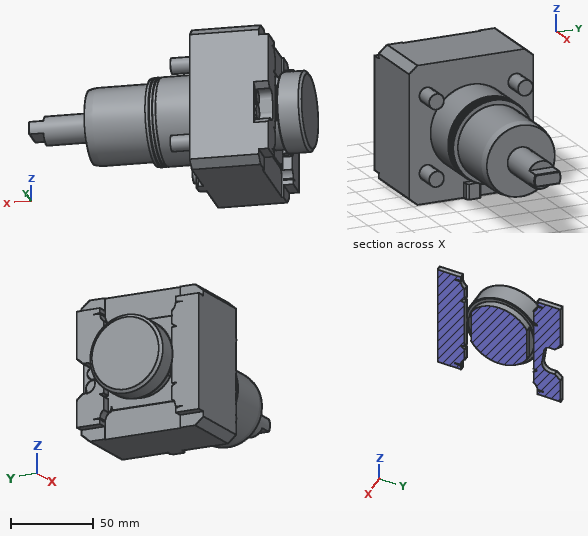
import cadquery as cq
EPS = 0.5

HOUSING_Y, HOUSING_Z = 84.0, 90.0
CORNER_Y, CORNER_Z = 5.7, 4.8
FACE_X = -43.1
PAD_X = -49.2
PAD_HALF_Z = 37.0
PAD_INNER_Y = 23.4

CHANNEL_STEP = 1.0
CHANNEL_FLOOR_X = FACE_X + CHANNEL_STEP
CHANNEL_HALF_Y = 26.0
CHANNEL_START_Z = 27.3
CHANNEL_RADIUS = 6.0

MID_RELIEF = ((PAD_INNER_Y, 19.9), (26.1, 17.9), (PAD_INNER_Y, 17.7))
END_RELIEF = ((CHANNEL_HALF_Y, 34.0), (30.2, 33.4), (CHANNEL_HALF_Y, 33.2))
PANEL_RELIEF = ((21.9, 27.7), (21.3, 25.0), (20.9, 27.5))

COOLANT_Y = 35.0
NOZZLE_Z, NOZZLE_RADIUS = -10.5, 4.9
SCREW_Z, SCREW_RADIUS = -1.1, 4.0
NOZZLE_CLEARANCE = 0.7
SCREW_CLEARANCE = 0.3
RECESS_MOUTH_TOP_Z = 6.7
RECESS_MOUTH_BOTTOM_Z = -19.6
RECESS_FLAT_Y = 38.0
RECESS_FLOOR_X = -40.0
PLUG_FRONT_X = -41.0
NOZZLE_BORE_STEP = 1.0
NOZZLE_BORE_END_X = RECESS_FLOOR_X + NOZZLE_BORE_STEP

CAP_FRONT_X, CAP_REAR_X = -65.6, -50.5
CAP_RADIUS = 25.0
CAP_CHAMFER_X, CAP_CHAMFER_R = 1.6, 2.0
CAP_REAR_CHAMFER = 0.5
NECK_RADIUS = 22.4
NECK_FLAT_START_X = PAD_X
NECK_FLAT_HALF_Y = 19.2

FLANGE_RADIUS, FLANGE_END_X = 27.5, 31.4
FLANGE_TAPER_DROP = 0.5
ORING_START_X, ORING_END_X = 24.8, 27.0
ORING_GROOVE_DEPTH = 1.6
ORING_SINK = 0.5
SNAP_START_X, SNAP_END_X = 28.8, 29.3
SNAP_GROOVE_DEPTH = 0.5
BARREL_RADIUS, BARREL_END_X = 24.0, 70.4
NOSE_LENGTH, NOSE_DROP = 5.4, 1.0
DRIVE_RADIUS, DRIVE_SHOULDER_X = 9.0, 99.3
TANG_END_X, TANG_THICKNESS, TANG_CHAMFER = 108.4, 8.0, 0.5

BOLT_Y, BOLT_Z = 30.0, 25.0
BOLT_RADIUS, BOLT_LENGTH = 5.0, 13.8
KEY_WIDTH, KEY_HEIGHT, KEY_LENGTH, KEY_CHAMFER = 10.0, 10.0, 4.7, 1.5


def block(x_range, y_range, z_range):
    """Axis-aligned box given by its limits along X, Y and Z."""
    sizes = [high - low for low, high in (x_range, y_range, z_range)]
    corner = (x_range[0], y_range[0], z_range[0])
    return cq.Workplane("XY").box(*sizes, centered=False).translate(corner)


def section(x):
    """Workplane across the spindle axis, with local axes Y and Z."""
    return cq.Workplane("YZ", origin=(x, 0, 0))


def rod(x_start, x_end, radius, y=0.0, z=0.0):
    """Cylinder along X."""
    return section(x_start).center(y, z).circle(radius).extrude(x_end - x_start)


def mirrored_four(shape):
    """The shape together with its copies in all four Y/Z quadrants."""
    pair = shape.union(shape.mirror("XZ"))
    return pair.union(pair.mirror("XY"))


def make_housing():
    half_y, half_z = HOUSING_Y / 2, HOUSING_Z / 2
    flat_y, flat_z = half_y - CORNER_Y, half_z - CORNER_Z
    outline = [
        (flat_y, half_z), (half_y, flat_z), (half_y, -flat_z), (flat_y, -half_z),
        (-flat_y, -half_z), (-half_y, -flat_z), (-half_y, flat_z), (-flat_y, half_z),
    ]
    housing = section(FACE_X).polyline(outline).close().extrude(-FACE_X)
    pad = block((PAD_X, FACE_X + EPS), (PAD_INNER_Y, half_y), (-PAD_HALF_Z, PAD_HALF_Z))
    return housing.union(pad).union(pad.mirror("XZ"))


def make_channels():
    upper = block(
        (PAD_X - EPS, CHANNEL_FLOOR_X),
        (-CHANNEL_HALF_Y, CHANNEL_HALF_Y),
        (CHANNEL_START_Z, HOUSING_Z / 2 + EPS),
    )
    upper = upper.edges("|X and <Z").fillet(CHANNEL_RADIUS)
    return upper.union(upper.mirror("XY"))


def make_relief(corners, x_start, x_end):
    """Triangular notches at the given corners, in every Y/Z quadrant."""
    notch = section(x_start).polyline(corners).close().extrude(x_end - x_start)
    return mirrored_four(notch)


def make_coolant_recess():
    nozzle_wall = NOZZLE_RADIUS + NOZZLE_CLEARANCE
    screw_wall = SCREW_RADIUS + SCREW_CLEARANCE
    mouth_y = HOUSING_Y / 2
    top_z = SCREW_Z + screw_wall
    bottom_z = NOZZLE_Z - nozzle_wall
    outline = [
        (mouth_y, RECESS_MOUTH_TOP_Z), (RECESS_FLAT_Y, top_z), (COOLANT_Y, top_z),
        (COOLANT_Y - screw_wall, SCREW_Z), (COOLANT_Y - nozzle_wall, NOZZLE_Z),
        (COOLANT_Y, bottom_z), (RECESS_FLAT_Y, bottom_z), (mouth_y, RECESS_MOUTH_BOTTOM_Z),
    ]
    mouth = section(PAD_X).polyline(outline).close().extrude(RECESS_FLOOR_X - PAD_X)
    nozzle_bore = rod(PAD_X, NOZZLE_BORE_END_X, nozzle_wall, COOLANT_Y, NOZZLE_Z)
    screw_bore = rod(PAD_X, RECESS_FLOOR_X, screw_wall, COOLANT_Y, SCREW_Z)
    return mouth.union(nozzle_bore).union(screw_bore)


def make_coolant_plugs():
    nozzle = rod(PLUG_FRONT_X, NOZZLE_BORE_END_X + EPS, NOZZLE_RADIUS, COOLANT_Y, NOZZLE_Z)
    screw = rod(PLUG_FRONT_X, RECESS_FLOOR_X + EPS, SCREW_RADIUS, COOLANT_Y, SCREW_Z)
    return nozzle.union(screw)


def make_cap():
    """Cap and its neck, which has two wrench flats facing along Y."""
    profile = [
        (CAP_FRONT_X, 0),
        (CAP_FRONT_X, CAP_RADIUS - CAP_CHAMFER_R),
        (CAP_FRONT_X + CAP_CHAMFER_X, CAP_RADIUS),
        (CAP_REAR_X - CAP_REAR_CHAMFER, CAP_RADIUS),
        (CAP_REAR_X, CAP_RADIUS - CAP_REAR_CHAMFER),
        (CAP_REAR_X, NECK_RADIUS),
        (FACE_X + EPS, NECK_RADIUS),
        (FACE_X + EPS, 0),
    ]
    cap = cq.Workplane("XY").polyline(profile).close().revolve(360, (0, 0, 0), (1, 0, 0))
    flat = block(
        (NECK_FLAT_START_X, FACE_X + EPS),
        (NECK_FLAT_HALF_Y, NECK_RADIUS + EPS),
        (-NECK_RADIUS, NECK_RADIUS),
    )
    return cap.cut(flat).cut(flat.mirror("XZ"))


def ring_groove(x_start, x_end, depth):
    outer = rod(x_start, x_end, FLANGE_RADIUS + EPS)
    return outer.cut(rod(x_start, x_end, FLANGE_RADIUS - depth))


def make_oring():
    wire_radius = (ORING_END_X - ORING_START_X) / 2
    ring_radius = FLANGE_RADIUS - ORING_SINK - wire_radius
    middle_x = (ORING_START_X + ORING_END_X) / 2
    cross_section = cq.Workplane("XY").center(middle_x, ring_radius).circle(wire_radius)
    return cross_section.revolve(360, (0, -ring_radius, 0), (1, -ring_radius, 0))


def make_flange():
    """Flange with an O-ring groove, a snap-ring groove and a tapered last land."""
    flange = rod(-EPS, FLANGE_END_X, FLANGE_RADIUS)
    flange = flange.faces(">X").edges().chamfer(FLANGE_END_X - SNAP_END_X, FLANGE_TAPER_DROP)
    flange = flange.cut(ring_groove(ORING_START_X, ORING_END_X, ORING_GROOVE_DEPTH))
    flange = flange.cut(ring_groove(SNAP_START_X, SNAP_END_X, SNAP_GROOVE_DEPTH))
    return flange.union(make_oring())


def make_barrel():
    """Barrel whose rear end curves in, tangent to its cylindrical wall."""
    profile = (
        cq.Workplane("XY")
        .moveTo(0, 0)
        .lineTo(0, BARREL_RADIUS)
        .lineTo(BARREL_END_X - NOSE_LENGTH, BARREL_RADIUS)
        .tangentArcPoint((BARREL_END_X, BARREL_RADIUS - NOSE_DROP), relative=False)
        .lineTo(BARREL_END_X, 0)
        .close()
    )
    return profile.revolve(360, (0, 0, 0), (1, 0, 0))


def make_drive_shaft():
    shaft = rod(0, TANG_END_X, DRIVE_RADIUS)
    tang_limits = (DRIVE_SHOULDER_X, TANG_END_X + EPS)
    width = (-DRIVE_RADIUS, DRIVE_RADIUS)
    flat = block(tang_limits, width, (TANG_THICKNESS / 2, DRIVE_RADIUS + EPS))
    shaft = shaft.cut(flat).cut(flat.mirror("XY"))
    return shaft.faces(">X").edges().chamfer(TANG_CHAMFER)


def make_key():
    bottom_z = -HOUSING_Z / 2
    key = block(
        (-EPS, KEY_LENGTH),
        (-KEY_WIDTH / 2, KEY_WIDTH / 2),
        (bottom_z, bottom_z + KEY_HEIGHT),
    )
    return key.edges("|Z and >X").chamfer(KEY_CHAMFER)


housing = make_housing().cut(make_channels())
for relief in (MID_RELIEF, END_RELIEF):
    housing = housing.cut(make_relief(relief, PAD_X, FACE_X))
housing = housing.cut(make_relief(PANEL_RELIEF, FACE_X, CHANNEL_FLOOR_X))
housing = housing.cut(make_coolant_recess()).union(make_coolant_plugs())

shank = make_flange().union(make_barrel()).union(make_drive_shaft())
bolts = mirrored_four(rod(-EPS, BOLT_LENGTH, BOLT_RADIUS, BOLT_Y, BOLT_Z))

result = housing.union(make_cap()).union(shank).union(bolts).union(make_key())